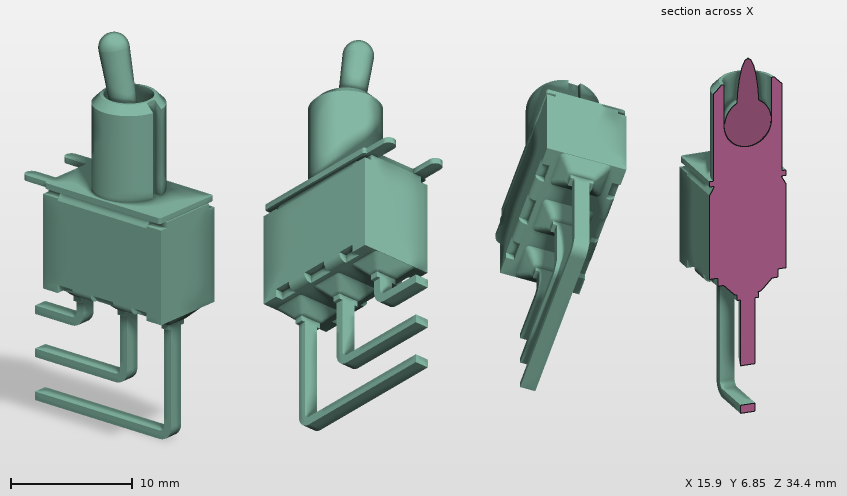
import cadquery as cq
import math


plate_length = 12.45
plate_thickness = 0.5
plate_corner_radius = 0.25
prong_end_x = -8.9
prong_width = 1.2
prong_center_y = 2.55

body_length = 12.7
body_width = 6.85
body_bottom_z = -9.43
body_top_z = -plate_thickness
recess_length = 9.55
recess_depth = 0.72
notch_height = 0.72
step_height = 0.5
bevel_height = 0.72
bevel_inset = 0.4
relief_inner_x = 1.2
relief_outer_x = 3.15
relief_radius = 0.62

bushing_diameter = 6.2
bushing_height = 8.4
bushing_chamfer = 0.72
bore_diameter = 4.2
keyway_width = 1.03
rim_radius = bushing_diameter / 2 - bushing_chamfer

terminal_pitch = 4.7
terminal_drop_pitch = 3.82
terminal_thickness = 0.75
terminal_width = 1.3
shoulder_width = 2.0
shoulder_height = 0.48
overall_length = 15.9
terminal_end_x = body_length / 2 - overall_length
first_terminal_bottom_z = -13.35
bend_inner_radius = 0.5
bend_outer_radius = bend_inner_radius + terminal_thickness
boss_length = 3.2
boss_width = 4.35
boss_height = 1.03
boss_edge_radius = 0.5
boss_bottom_z = body_bottom_z - boss_height

lever_tilt = 12.2
ball_radius = bore_diameter / 2
ball_center_z = 4.7
tip_radius = 1.3
tip_distance = 7.57
stick_half_taper = 2.3


def box(x_range, y_range, z_range):
    """Box between two limits on each axis."""
    (x0, x1), (y0, y1), (z0, z1) = x_range, y_range, z_range
    return cq.Workplane("XY").box(x1 - x0, y1 - y0, z1 - z0, centered=False).translate((x0, y0, z0))


def make_plate():
    plate = (
        cq.Workplane("XY", origin=(0, 0, body_top_z))
        .rect(plate_length, body_width)
        .extrude(plate_thickness)
        .edges("|Z")
        .fillet(plate_corner_radius)
    )
    for side in (-1, 1):
        prong = (
            cq.Workplane("XY", origin=(prong_end_x / 2, side * prong_center_y, body_top_z))
            .slot2D(-prong_end_x, prong_width)
            .extrude(plate_thickness)
        )
        plate = plate.union(prong)
    return plate


def make_front_edge_cuts():
    """Material removed along the -Y side of the block: bevel, end steps, notches and rounding."""
    face_y = -body_width / 2
    recess_y = face_y + recess_depth
    half_recess = recess_length / 2

    cuts = (
        cq.Workplane("YZ", origin=(-half_recess, 0, 0))
        .moveTo(face_y, body_top_z)
        .lineTo(face_y + bevel_inset, body_top_z)
        .lineTo(face_y, body_top_z - bevel_height)
        .close()
        .extrude(recess_length)
    )
    step_z = (body_top_z - step_height, body_top_z)
    cuts = cuts.union(box((-body_length / 2, -half_recess), (face_y, recess_y), step_z))
    cuts = cuts.union(box((half_recess, body_length / 2), (face_y, recess_y), step_z))

    notch_z = (body_bottom_z, body_bottom_z + notch_height)
    notch_spans = [
        (-half_recess, -relief_outer_x),
        (-relief_inner_x, relief_inner_x),
        (relief_outer_x, half_recess),
    ]
    for notch_x in notch_spans:
        cuts = cuts.union(box(notch_x, (face_y, recess_y), notch_z))

    arc_offset = relief_radius * (1 - math.sqrt(0.5))
    for start_x in (-relief_outer_x, relief_inner_x):
        relief = (
            cq.Workplane("YZ", origin=(start_x, 0, 0))
            .moveTo(face_y, body_bottom_z)
            .lineTo(face_y, body_bottom_z + relief_radius)
            .threePointArc(
                (face_y + arc_offset, body_bottom_z + arc_offset),
                (face_y + relief_radius, body_bottom_z),
            )
            .close()
            .extrude(relief_outer_x - relief_inner_x)
        )
        cuts = cuts.union(relief)
    return cuts


def make_block():
    block = box(
        (-body_length / 2, body_length / 2),
        (-body_width / 2, body_width / 2),
        (body_bottom_z, body_top_z),
    )
    cuts = make_front_edge_cuts()
    return block.cut(cuts).cut(cuts.mirror("XZ"))


def make_bushing():
    bushing = (
        cq.Workplane("XY")
        .circle(bushing_diameter / 2)
        .extrude(bushing_height)
        .faces(">Z")
        .chamfer(bushing_chamfer)
    )
    keyway = box(
        (rim_radius, bushing_diameter / 2),
        (-keyway_width / 2, keyway_width / 2),
        (0, bushing_height),
    )
    return bushing.cut(keyway)


def make_lever_seat():
    """Bore of the bushing, ending in a hemisphere that holds the lever ball."""
    bore = (
        cq.Workplane("XY", origin=(0, 0, ball_center_z))
        .circle(bore_diameter / 2)
        .extrude(bushing_height - ball_center_z)
    )
    seat = cq.Workplane("XY", origin=(0, 0, ball_center_z)).sphere(ball_radius)
    return bore.union(seat)


def make_boss(center_x):
    return (
        cq.Workplane("XY", origin=(center_x, 0, body_bottom_z))
        .rect(boss_length, boss_width)
        .workplane(offset=-boss_height)
        .rect(boss_length - 2 * boss_height, boss_width - 2 * boss_height)
        .loft(ruled=True)
        .edges("not >Z")
        .fillet(boss_edge_radius)
    )


def make_terminal(center_x, bottom_z):
    """Bent pin: down from the boss, then towards -X."""
    left_x = center_x - terminal_thickness / 2
    right_x = center_x + terminal_thickness / 2
    pin = (
        cq.Workplane("XZ")
        .moveTo(left_x, boss_bottom_z)
        .lineTo(right_x, boss_bottom_z)
        .lineTo(right_x, bottom_z + bend_outer_radius)
        .radiusArc((right_x - bend_outer_radius, bottom_z), bend_outer_radius)
        .lineTo(terminal_end_x, bottom_z)
        .lineTo(terminal_end_x, bottom_z + terminal_thickness)
        .lineTo(left_x - bend_inner_radius, bottom_z + terminal_thickness)
        .radiusArc((left_x, bottom_z + terminal_thickness + bend_inner_radius), -bend_inner_radius)
        .close()
        .extrude(terminal_width / 2, both=True)
    )
    shoulder = box(
        (left_x, right_x),
        (-shoulder_width / 2, shoulder_width / 2),
        (boss_bottom_z - shoulder_height, boss_bottom_z),
    )
    return pin.union(shoulder)


def make_housing():
    housing = make_block().union(make_plate()).union(make_bushing())
    for index in range(3):
        center_x = (index - 1) * terminal_pitch
        bottom_z = first_terminal_bottom_z - index * terminal_drop_pitch
        housing = housing.union(make_boss(center_x)).union(make_terminal(center_x, bottom_z))
    return housing.cut(make_lever_seat())


def make_lever():
    """Ball, stick and tip turned about the lever axis, then tilted towards -X."""
    taper = math.radians(stick_half_taper)
    base_radius = tip_radius - tip_distance * math.tan(taper)
    stick = (
        cq.Workplane("XZ")
        .lineTo(base_radius, 0)
        .lineTo(tip_radius, tip_distance)
        .threePointArc(
            (tip_radius * math.sqrt(0.5), tip_distance + tip_radius * math.sqrt(0.5)),
            (0, tip_distance + tip_radius),
        )
        .close()
        .revolve(360, (0, 0, 0), (0, 1, 0))
        .rotate((0, 0, 0), (0, 1, 0), -lever_tilt)
    )
    return cq.Workplane("XY").sphere(ball_radius).union(stick).translate((0, 0, ball_center_z))


housing = make_housing()
lever = make_lever()

result = cq.Compound.makeCompound([housing.val(), lever.val()])